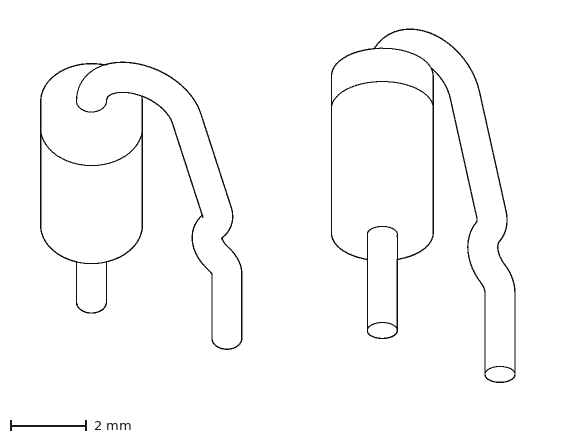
import cadquery as cq
import math

total_height = 9.75
total_width = 5.56
body_diameter = 2.7
body_bottom = 3.0
body_top = 7.995
band_height = 1.06
edge_round = 0.05
lead_diameter = 0.8

slope_heading = 14.1
slope_length = 3.53
upper_kink_radius = 0.7
inward_heading = -35.0
middle_kink_radius = 0.96
outward_heading = 48.5

body_radius = body_diameter / 2
lead_radius = lead_diameter / 2
band_bottom = body_top - band_height
crest_radius = total_height - lead_radius - body_top
return_leg_x = total_width - body_radius - lead_radius


def bend_point(start, radius, heading_in, heading_out):
    """Point on a bend that starts with one heading and has turned to another."""
    a = math.radians(heading_in)
    b = math.radians(heading_out)
    turn_side = math.copysign(radius, heading_out - heading_in)
    return (
        start[0] + turn_side * (math.cos(a) - math.cos(b)),
        start[1] + turn_side * (math.sin(a) - math.sin(b)),
    )


def add_bend(path, start, radius, heading_in, heading_out):
    """Append a circular bend to the path and return its end point."""
    middle = bend_point(start, radius, heading_in, (heading_in + heading_out) / 2)
    end = bend_point(start, radius, heading_in, heading_out)
    return path.threePointArc(middle, end), end


def lead_path():
    """Centreline of the lead: through the body, over the crest and down the kinked leg."""
    top = (0.0, body_top)
    path = cq.Workplane("XZ").moveTo(0, 0).lineTo(*top)

    lead_up = 180.0
    path, crest_end = add_bend(path, top, crest_radius, lead_up, slope_heading)

    slope = math.radians(slope_heading)
    slope_end = (
        crest_end[0] + slope_length * math.sin(slope),
        crest_end[1] - slope_length * math.cos(slope),
    )
    path = path.lineTo(*slope_end)

    path, kink = add_bend(path, slope_end, upper_kink_radius, slope_heading, inward_heading)
    path, kink = add_bend(path, kink, middle_kink_radius, inward_heading, outward_heading)

    straight_down = 0.0
    reach = return_leg_x - kink[0]
    lower_kink_radius = reach / (1 - math.cos(math.radians(outward_heading)))
    path, leg_top = add_bend(path, kink, lower_kink_radius, outward_heading, straight_down)
    return path.lineTo(leg_top[0], 0)


def make_lead():
    """One round wire bent along the lead path."""
    return cq.Workplane("XY").circle(lead_radius).sweep(lead_path())


def make_sleeve(bottom, top, rounded_edge):
    """Cylinder bored for the lead, with its outer edge rounded at one end."""
    sleeve = cq.Workplane("XY").workplane(offset=bottom).circle(body_radius).extrude(top - bottom)
    sleeve = sleeve.faces(rounded_edge).edges().fillet(edge_round)
    bore = cq.Workplane("XY").workplane(offset=bottom).circle(lead_radius).extrude(top - bottom)
    return sleeve.cut(bore)


lead = make_lead()
body = make_sleeve(body_bottom, band_bottom, "<Z")
band = make_sleeve(band_bottom, body_top, ">Z")

result = cq.Compound.makeCompound([body.val(), band.val(), lead.val()])